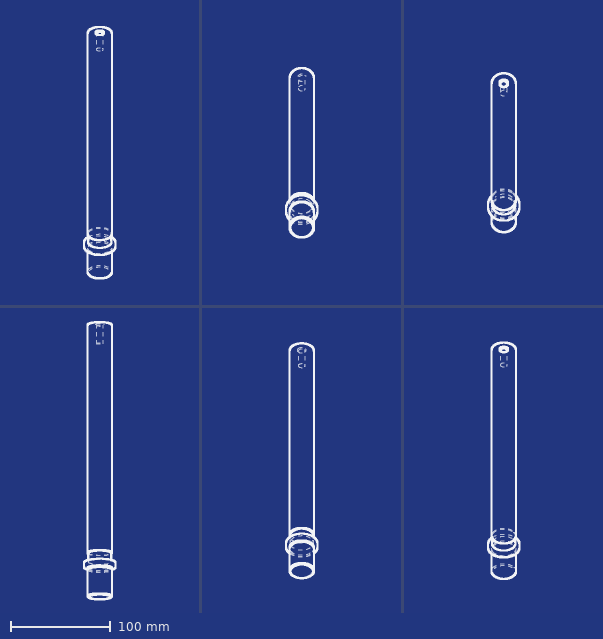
import cadquery as cq

length = 280.0
shaft_radius = 25.0 / 2
flange_radius = 32.0 / 2
neck_radius = 23.5 / 2

flange_bottom = 30.0
flange_top = 36.0
shaft_bottom = 45.0

end_chamfer = 1.0
shaft_chamfer = 0.5
flange_round = 1.0
lead_length = 3.5
lead_depth = 0.1
top_round = 1.0

undercut_height = 2.0
undercut_depth = 0.15

hole_radius = 6.7 / 2
hole_depth = 19.5
hole_chamfer = 1.0


def make_body():
    """Revolve the stepped half profile about the Z axis."""
    undercut_radius = shaft_radius - undercut_depth
    undercut_bottom = flange_bottom - undercut_height
    lead_radius = shaft_radius - lead_depth
    half_profile = (
        cq.Workplane("XZ")
        .lineTo(shaft_radius - end_chamfer, 0)
        .lineTo(shaft_radius, end_chamfer)
        .lineTo(shaft_radius, undercut_bottom)
        .lineTo(undercut_radius, undercut_bottom + undercut_depth)
        .lineTo(undercut_radius, flange_bottom)
        .lineTo(flange_radius - flange_round, flange_bottom)
        .radiusArc((flange_radius, flange_bottom + flange_round), -flange_round)
        .lineTo(flange_radius, flange_top - flange_round)
        .radiusArc((flange_radius - flange_round, flange_top), -flange_round)
        .lineTo(neck_radius, flange_top)
        .lineTo(neck_radius, shaft_bottom)
        .lineTo(shaft_radius - shaft_chamfer, shaft_bottom)
        .lineTo(shaft_radius, shaft_bottom + shaft_chamfer)
        .lineTo(shaft_radius, length - lead_length)
        .lineTo(lead_radius, length - top_round)
        .radiusArc((lead_radius - top_round, length), -top_round)
        .lineTo(0, length)
        .close()
    )
    return half_profile.revolve(360, (0, 0, 0), (0, 1, 0))


def make_hole():
    """Blind hole with a countersunk mouth, as a solid to cut away."""
    profile = [
        (0, length - hole_depth),
        (hole_radius, length - hole_depth),
        (hole_radius, length - hole_chamfer),
        (hole_radius + hole_chamfer, length),
        (0, length),
    ]
    return cq.Workplane("XZ").polyline(profile).close().revolve(360, (0, 0, 0), (0, 1, 0))


result = make_body().cut(make_hole())